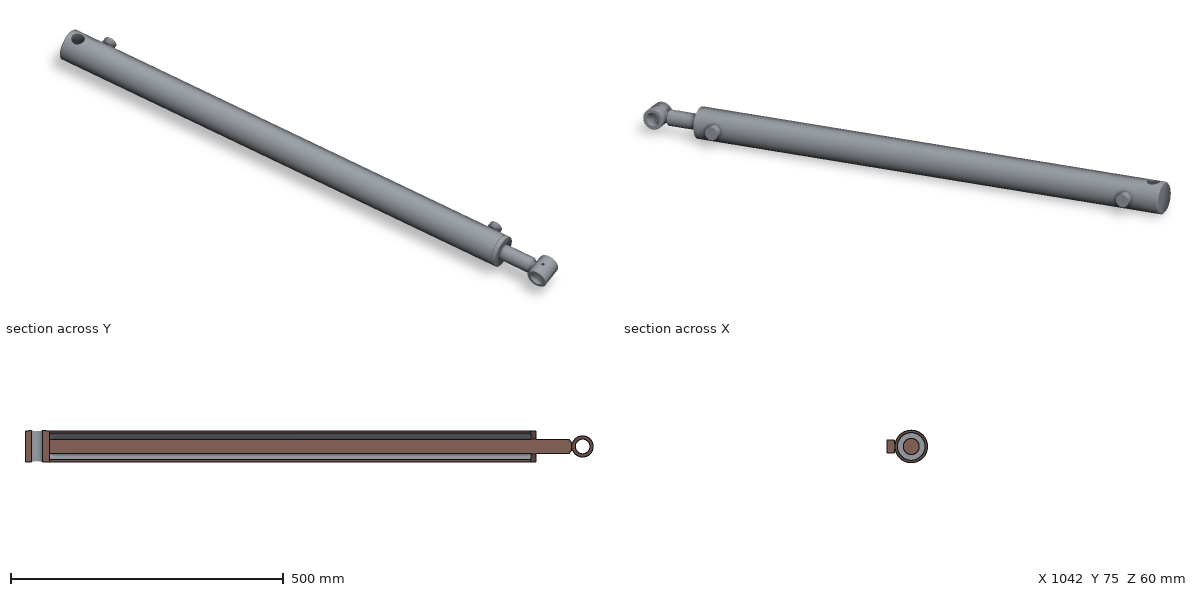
import cadquery as cq

total_length = 1042.0
barrel_diameter = 60.0
barrel_radius = barrel_diameter / 2

plug_length = 45.0
plug_chamfer = 2.0
plug_hole_diameter = 25.0
plug_hole_x = 22.0

bore_diameter = 50.0
gland_start = 927.0
gland_end = 937.0
gland_chamfer = 1.0

eye_diameter = 40.0
eye_width = 45.0
eye_chamfer = 1.0
eye_bore = 26.0
eye_x = total_length - eye_diameter / 2
grease_hole_diameter = 6.0

rod_diameter = 30.0
rod_chamfer = 4.0
rod_end = 1001.0
rod_tip_diameter = rod_diameter - 2 * rod_chamfer

port_diameter = 25.0
port_height = 15.0
port_positions = (65.0, 894.0)


def bar(diameter, start, end):
    """Round bar along X between two stations."""
    return cq.Workplane("YZ", origin=(start, 0, 0)).circle(diameter / 2).extrude(end - start)


def eye_bar(diameter):
    """Round bar along Y through the eye centre, as long as the eye is wide."""
    return cq.Workplane("XZ", origin=(eye_x, eye_width / 2, 0)).circle(diameter / 2).extrude(eye_width)


def make_plug():
    hole = cq.Workplane("XY", origin=(plug_hole_x, 0, 0)).circle(plug_hole_diameter / 2)
    plug = bar(barrel_diameter, 0, plug_length).faces("<X").chamfer(plug_chamfer)
    return plug.cut(hole.extrude(barrel_radius, both=True))


def make_tube():
    bore = bar(bore_diameter, plug_length, gland_start)
    return bar(barrel_diameter, plug_length, gland_start).cut(bore)


def make_gland():
    gland = bar(barrel_diameter, gland_start, gland_end).faces("<X").chamfer(gland_chamfer)
    return gland.cut(bar(rod_diameter, gland_start, gland_end))


def make_rod():
    shaft = bar(rod_diameter, plug_length, rod_end).faces(">X").chamfer(rod_chamfer)
    tip = bar(rod_tip_diameter, rod_end, eye_x)
    return shaft.union(tip).cut(eye_bar(eye_diameter))


def make_eye():
    grease_hole = cq.Workplane("XY", origin=(eye_x, 0, 0)).circle(grease_hole_diameter / 2)
    eye = eye_bar(eye_diameter).faces("<Y or >Y").chamfer(eye_chamfer)
    return eye.cut(eye_bar(eye_bore)).cut(grease_hole.extrude(eye_diameter))


def make_port(x):
    port_base = cq.Workplane("XZ", origin=(x, barrel_radius, 0))
    return port_base.circle(port_diameter / 2).extrude(-port_height)


plug = make_plug()
tube = make_tube()
gland = make_gland()
rod = make_rod()
eye = make_eye()
ports = [make_port(x).val() for x in port_positions]

result = cq.Compound.makeCompound([plug.val(), tube.val(), gland.val(), rod.val(), eye.val(), *ports])